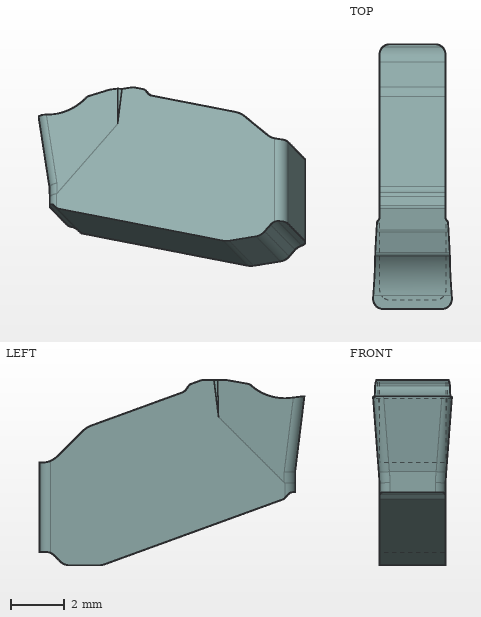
import cadquery as cq
import math


def tan_deg(angle):
    return math.tan(math.radians(angle))


length = 10.0
height = 7.0
shank_width = 2.5
end_radius = 0.4
slope = 20.0

tip_z = 6.39
clearance_angle = 7.0
land_top_z = 3.545
land_y = (tip_z - land_top_z) * tan_deg(clearance_angle)

undercut_z = 2.76
undercut_y = 0.54
nose_y = 0.777
nose_z = 2.5
belly_y = nose_y + nose_z / tan_deg(slope)

lower_bevel_y = 9.57
lower_bevel_z = 0.5
upper_bevel_y = 9.56
upper_bevel_z = 3.885
upper_bevel_run = 1.325
shoulder_y = upper_bevel_y - upper_bevel_run
shoulder_z = upper_bevel_z + upper_bevel_run

riser_foot_y = 4.49
riser_foot_z = shoulder_z + (shoulder_y - riser_foot_y) * tan_deg(slope)
riser_top_y = 4.363
riser_top_z = 6.82
crown_back_y = riser_top_y - (height - riser_top_z) / tan_deg(slope)

crown_front_y = 2.96
breaker_angle = 10.0
breaker_y = 2.08
breaker_z = height - (crown_front_y - breaker_y) * tan_deg(breaker_angle)
rake_angle = 7.0
rake_valley_y = 1.36
rake_valley_z = tip_z - rake_valley_y * tan_deg(rake_angle)

flare_angle = 5.5
flare_corner_y = 3.245
flare_corner_z = 5.603
step_foot_y = 3.42
step_head_y = 3.27
step_head_offset = 0.1

overrun = 1.0
tolerance = 0.001

outline_corners = [
    (0, tip_z, 0),
    (land_y, land_top_z, 0),
    (land_y, undercut_z, 0),
    (undercut_y, undercut_z, 0.25),
    (nose_y, nose_z, 0.1),
    (belly_y, 0, 0.7),
    (lower_bevel_y - lower_bevel_z, 0, 0.5),
    (lower_bevel_y, lower_bevel_z, 0.4),
    (length, lower_bevel_z, 0),
    (length, upper_bevel_z, 0),
    (upper_bevel_y, upper_bevel_z, 0.8),
    (shoulder_y, shoulder_z, 1.0),
    (riser_foot_y, riser_foot_z, 0.4),
    (riser_top_y, riser_top_z, 0.28),
    (crown_back_y, height, 0.3),
    (crown_front_y, height, 0.5),
    (breaker_y, breaker_z, 0.25),
    (rake_valley_y, rake_valley_z, 1.9),
]


def rounded_corner(before, corner, after, radius):
    """Return start, middle and end of the arc that rounds one outline corner."""
    vertex = cq.Vector(*corner)
    to_before = (cq.Vector(*before) - vertex).normalized()
    to_after = (cq.Vector(*after) - vertex).normalized()
    half_angle = to_before.getAngle(to_after) / 2
    tangent = radius / math.tan(half_angle)
    bisector = (to_before + to_after).normalized()
    middle = vertex + bisector * (radius / math.sin(half_angle) - radius)
    return vertex + to_before * tangent, middle, vertex + to_after * tangent


def profile_slab(width):
    """Extrude the side outline to the given width, centred on X = 0."""
    sketch = cq.Workplane("YZ").moveTo(*outline_corners[0][:2])
    count = len(outline_corners)
    for i in range(1, count):
        y, z, radius = outline_corners[i]
        if radius == 0:
            sketch = sketch.lineTo(y, z)
            continue
        before = outline_corners[i - 1][:2]
        after = outline_corners[(i + 1) % count][:2]
        start, middle, end = rounded_corner(before, (y, z), after, radius)
        sketch = sketch.lineTo(start.x, start.y)
        sketch = sketch.threePointArc((middle.x, middle.y), (end.x, end.y))
    return sketch.close().extrude(width / 2, both=True)


def half_space(origin, outward):
    """Return a large block filling the side of a plane opposite to outward."""
    size = 4 * length
    plane = cq.Plane(origin=origin.toTuple(), normal=outward.toTuple())
    return cq.Workplane(plane).rect(size, size).extrude(-size)


def end_block(width):
    """Return a block with the front and back faces of the part, run past its top and bottom."""
    top_z = height + overrun
    top_y = land_y - (top_z - land_top_z) * tan_deg(clearance_angle)
    sketch = cq.Workplane("YZ").moveTo(land_y, -overrun)
    sketch = sketch.lineTo(land_y, land_top_z).lineTo(top_y, top_z)
    sketch = sketch.lineTo(length, top_z).lineTo(length, -overrun)
    return sketch.close().extrude(width / 2, both=True)


def flared_cheek():
    """Return the flared front end on the +X side, reaching in to the centre plane."""
    side_x = shank_width / 2
    corner = cq.Vector(side_x, flare_corner_y, flare_corner_z)
    lean = math.radians(flare_angle)
    diagonal = math.sin(lean) / math.sqrt(2)
    cheek_normal = cq.Vector(math.cos(lean), diagonal, -diagonal)

    step_foot = cq.Vector(side_x, step_foot_y, height)
    step_head = cq.Vector(side_x + step_head_offset, step_head_y, height)
    step_normal = (step_head - step_foot).cross(corner - step_foot)

    cheek = end_block(2 * shank_width)
    cheek = cheek.intersect(half_space(corner, cheek_normal))
    cheek = cheek.intersect(half_space(corner, step_normal))
    inner_side = half_space(cq.Vector(0, 0, 0), cq.Vector(1, 0, 0))
    return cheek.cut(inner_side)


def round_upright_edges(block):
    """Round the edges where the front and back faces of a block meet its sides."""
    def is_upright_end(edge):
        box = edge.BoundingBox()
        at_front = box.ymax < land_y + tolerance
        at_back = box.ymin > length - tolerance
        at_middle_plane = abs(box.xmax) < tolerance
        return (at_front or at_back) and box.zlen > tolerance and not at_middle_plane

    edges = [edge for edge in block.edges().vals() if is_upright_end(edge)]
    return block.newObject(edges).fillet(end_radius)


def rounded_envelope():
    """Return the shank and both cheeks with rounded end edges, untrimmed in height."""
    shank = round_upright_edges(end_block(shank_width))
    cheek = round_upright_edges(flared_cheek())
    return shank.union(cheek).union(cheek.mirror("YZ"))


result = profile_slab(2 * shank_width).intersect(rounded_envelope())